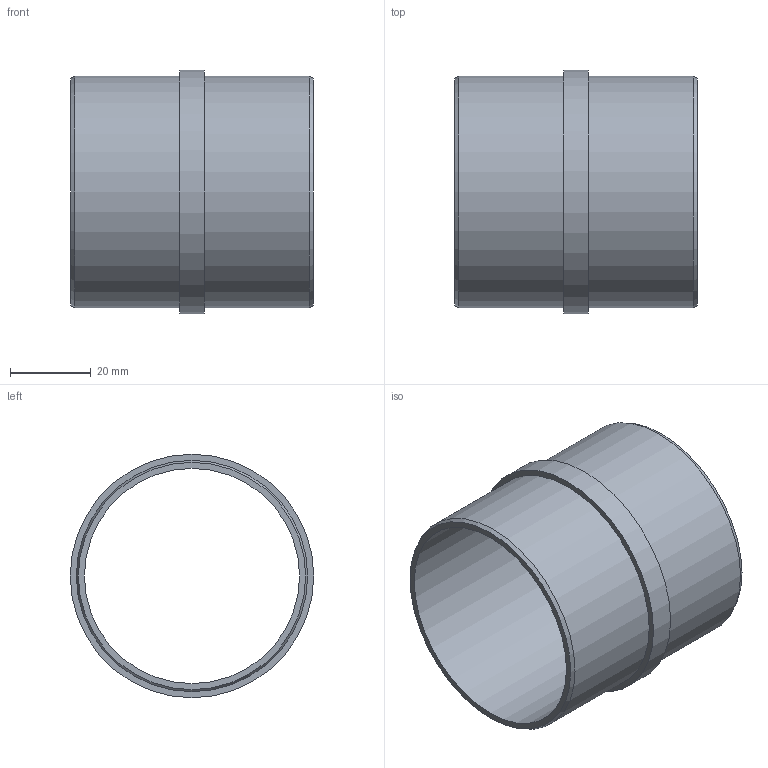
import cadquery as cq

length = 60.0
bore_diameter = 53.3
wall_thickness = 2.0
collar_height = 1.5
collar_width = 6.0
bevel_length = 1.0
bevel_depth = 0.5

half_length = length / 2
half_collar = collar_width / 2
bevel_start = half_length - bevel_length

bore_radius = bore_diameter / 2
sleeve_radius = bore_radius + wall_thickness
collar_radius = sleeve_radius + collar_height
end_radius = sleeve_radius - bevel_depth

wall_section = [
    (-half_length, bore_radius),
    (-half_length, end_radius),
    (-bevel_start, sleeve_radius),
    (-half_collar, sleeve_radius),
    (-half_collar, collar_radius),
    (half_collar, collar_radius),
    (half_collar, sleeve_radius),
    (bevel_start, sleeve_radius),
    (half_length, end_radius),
    (half_length, bore_radius),
]

axis_start = (0, 0, 0)
axis_end = (1, 0, 0)
result = cq.Workplane("XZ").polyline(wall_section).close().revolve(360, axis_start, axis_end)